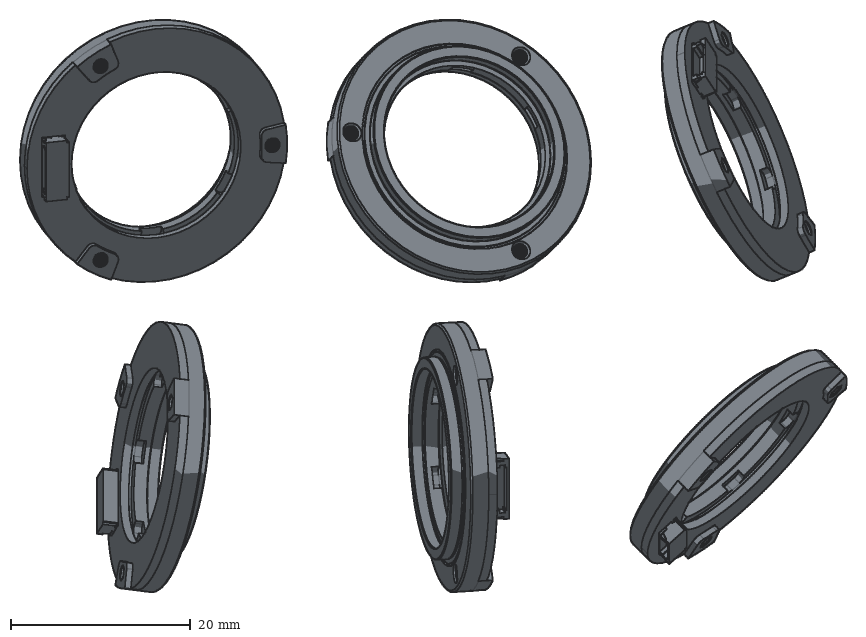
import cadquery as cq
import math


BOSS_END = 1.3
FLANGE_FRONT = 1.5
RECESS_START = 3.0
SEAT_START = 3.3
COVER_FRONT = 3.5
COVER_REAR = 4.5
LUG_REAR = 5.2
CONNECTOR_REAR = 6.2

OUTER_RADIUS = 30 / 2
BOSS_RADIUS = 22.6 / 2
NECK_RADIUS = 22.4 / 2
FRONT_BORE_RADIUS = 20.0 / 2
RELIEF_RADIUS = 20.2 / 2
RIB_BORE_RADIUS = 19.0 / 2
RECESS_RADIUS = 21.2 / 2
SEAT_RADIUS = 22.8 / 2
COVER_BORE_RADIUS = 19.6 / 2
FLANGE_CHAMFER = 0.2

GROOVE_OUTER_RADIUS = 24.2 / 2
GROOVE_INNER_RADIUS = 23.6 / 2
GROOVE_DEPTH = 0.3

LUG_ANGLES = [0, 120, 240]
LUG_SPAN = 17.5
LUG_INNER_RADIUS = 12.05
LUG_CORNER_RADIUS = 0.75
HOLE_CIRCLE_RADIUS = 13.3
THREAD_CREST_RADIUS = 1.62 / 2
THREAD_ROOT_RADIUS = 2.15 / 2
THREAD_PITCH = 0.4

NOTCH_COUNT = 6
FIRST_NOTCH_ANGLE = 30
NOTCH_SPAN = 15
NOTCH_FRONT = 2.1
NOTCH_INNER_RADIUS = RIB_BORE_RADIUS - 0.3
NOTCH_CORNER_RADIUS = 0.75

CONNECTOR_LENGTH = 7.0
CONNECTOR_DEPTH = 2.7
CONNECTOR_FRONT = -HOLE_CIRCLE_RADIUS
CONNECTOR_BACK = CONNECTOR_FRONT + CONNECTOR_DEPTH
HALF_LENGTH = CONNECTOR_LENGTH / 2
BACK_STEP_DEPTH = 0.27
BACK_STEP_INSET = 0.27
UNDERCUT_HEIGHT = 0.18
UNDERCUT_DEPTH = 0.75
FOOT_DEPTH = 0.45

MOUTH_DEPTH = 1.5
MOUTH_FLOOR = COVER_REAR + 0.18
MOUTH_HEIGHT = 1.25
MOUTH_LENGTH = 4.98
KEY_OFFSET = 0.45
KEY_HEIGHT = 0.63
KEY_SPAN = 5.52

TAB_THICKNESS = 0.27
TAB_WIDTH = 0.27
TAB_DEPTH = 1.02
RAMP_END_HEIGHT = 1.08
RAMP_START_DEPTH = 0.42
RAMP_END_DEPTH = 0.15


def about_axis(shape, degrees):
    return shape.rotate((0, 0, 0), (1, 0, 0), degrees)


def turned(profile, span=360):
    """Revolve a closed (x, radius) outline about the X axis, through a span centred on +Y."""
    points = [(x, -radius) for x, radius in profile]
    solid = cq.Workplane("XY").polyline(points).close().revolve(span, (0, 0), (1, 0))
    return about_axis(solid, 180 - span / 2)


def ring(inner_radius, outer_radius, start, end, span=360):
    profile = [(start, inner_radius), (end, inner_radius), (end, outer_radius), (start, outer_radius)]
    return turned(profile, span)


def block(x_range, y_range, z_range):
    size = [high - low for low, high in (x_range, y_range, z_range)]
    corner = (x_range[0], y_range[0], z_range[0])
    return cq.Workplane("XY").box(*size, centered=False).translate(corner)


def lug():
    """Lug on +Y with rounded inner corners, standing on the back of the flange."""
    body = ring(LUG_INNER_RADIUS, OUTER_RADIUS, COVER_FRONT, LUG_REAR, LUG_SPAN)
    return body.edges("|X").edges("<Y").fillet(LUG_CORNER_RADIUS)


def notch():
    """Cutter on +Y with rounded outer corners, for one notch in the bore rib."""
    cutter = ring(NOTCH_INNER_RADIUS, RECESS_RADIUS, NOTCH_FRONT, SEAT_START, NOTCH_SPAN)
    return cutter.edges("|X").edges(">Y").fillet(NOTCH_CORNER_RADIUS)


def threaded_hole():
    """Cutter on +Y: a through hole with ring-shaped V threads."""
    outline = [(FLANGE_FRONT, 0), (FLANGE_FRONT, THREAD_ROOT_RADIUS)]
    pitches = math.ceil((LUG_REAR - FLANGE_FRONT) / THREAD_PITCH)
    for turn in range(pitches):
        root = FLANGE_FRONT + turn * THREAD_PITCH
        outline.append((root + THREAD_PITCH / 2, THREAD_CREST_RADIUS))
        outline.append((root + THREAD_PITCH, THREAD_ROOT_RADIUS))
    outline.append((FLANGE_FRONT + pitches * THREAD_PITCH, 0))
    return turned(outline).translate((0, HOLE_CIRCLE_RADIUS, 0))


def make_housing():
    edge_break = BOSS_RADIUS - NECK_RADIUS
    body = turned([
        (0, RELIEF_RADIUS),
        (0, NECK_RADIUS),
        (edge_break, BOSS_RADIUS),
        (BOSS_END, BOSS_RADIUS),
        (BOSS_END, NECK_RADIUS),
        (FLANGE_FRONT, NECK_RADIUS),
        (FLANGE_FRONT, OUTER_RADIUS - FLANGE_CHAMFER),
        (FLANGE_FRONT + FLANGE_CHAMFER, OUTER_RADIUS),
        (COVER_FRONT, OUTER_RADIUS),
        (COVER_FRONT, SEAT_RADIUS),
        (SEAT_START, SEAT_RADIUS),
        (SEAT_START, RECESS_RADIUS),
        (RECESS_START, RECESS_RADIUS),
        (RECESS_START, RIB_BORE_RADIUS),
        (FLANGE_FRONT, RIB_BORE_RADIUS),
        (FLANGE_FRONT, RELIEF_RADIUS),
        (BOSS_END, RELIEF_RADIUS),
        (BOSS_END, FRONT_BORE_RADIUS),
        (RELIEF_RADIUS - FRONT_BORE_RADIUS, FRONT_BORE_RADIUS),
    ])
    groove_floor = FLANGE_FRONT + GROOVE_DEPTH
    body = body.cut(ring(GROOVE_INNER_RADIUS, GROOVE_OUTER_RADIUS, FLANGE_FRONT, groove_floor))
    for index in range(NOTCH_COUNT):
        angle = FIRST_NOTCH_ANGLE + index * 360 / NOTCH_COUNT
        body = body.cut(about_axis(notch(), angle), clean=False)
    for angle in LUG_ANGLES:
        body = body.union(about_axis(lug(), angle), clean=False)
    for angle in LUG_ANGLES:
        body = body.cut(about_axis(threaded_hole(), angle), clean=False)
    return body


def make_cover():
    """Flat ring behind the flange, cut out around the lugs."""
    body = ring(COVER_BORE_RADIUS, OUTER_RADIUS, COVER_FRONT, COVER_REAR)
    for angle in LUG_ANGLES:
        body = body.cut(about_axis(lug(), angle), clean=False)
    return body


def end_slot(side):
    """Cutter for the solder tab and the ramp behind it; side is +1 or -1 along Z."""
    outline = [
        (COVER_REAR, CONNECTOR_FRONT),
        (COVER_REAR, CONNECTOR_FRONT + TAB_DEPTH),
        (COVER_REAR + TAB_THICKNESS, CONNECTOR_FRONT + TAB_DEPTH),
        (COVER_REAR + TAB_THICKNESS, CONNECTOR_FRONT + RAMP_START_DEPTH),
        (COVER_REAR + RAMP_END_HEIGHT, CONNECTOR_FRONT + RAMP_END_DEPTH),
        (COVER_REAR + RAMP_END_HEIGHT, CONNECTOR_FRONT),
    ]
    slot_centre = side * (HALF_LENGTH - TAB_WIDTH / 2)
    return (
        cq.Workplane("XY", origin=(0, 0, slot_centre))
        .polyline(outline)
        .close()
        .extrude(TAB_WIDTH / 2, both=True)
    )


def make_connector():
    full_length = (-HALF_LENGTH, HALF_LENGTH)
    body = block((COVER_REAR, CONNECTOR_REAR), (CONNECTOR_FRONT, CONNECTOR_BACK), full_length)

    foot_front = CONNECTOR_BACK - FOOT_DEPTH
    undercut_front = CONNECTOR_BACK - UNDERCUT_DEPTH
    undercut_x = (COVER_REAR, COVER_REAR + UNDERCUT_HEIGHT)
    body = body.cut(block(undercut_x, (undercut_front, foot_front), full_length))

    mouth_y = (CONNECTOR_FRONT, CONNECTOR_FRONT + MOUTH_DEPTH)
    mouth_x = (MOUTH_FLOOR, MOUTH_FLOOR + MOUTH_HEIGHT)
    key_floor = MOUTH_FLOOR + KEY_OFFSET
    mouth = block(mouth_x, mouth_y, (-MOUTH_LENGTH / 2, MOUTH_LENGTH / 2))
    keys = block((key_floor, key_floor + KEY_HEIGHT), mouth_y, (-KEY_SPAN / 2, KEY_SPAN / 2))
    body = body.cut(mouth).cut(keys)

    step_x = (COVER_REAR + UNDERCUT_HEIGHT, CONNECTOR_REAR)
    step_y = (CONNECTOR_BACK - BACK_STEP_DEPTH, CONNECTOR_BACK)
    for side in (1, -1):
        step_z = sorted((side * (HALF_LENGTH - BACK_STEP_INSET), side * HALF_LENGTH))
        body = body.cut(block(step_x, step_y, step_z)).cut(end_slot(side))
    return body


def make_tab(side):
    """Solder tab lying on the cover at one end of the connector."""
    tab_x = (COVER_REAR, COVER_REAR + TAB_THICKNESS)
    tab_y = (CONNECTOR_FRONT, CONNECTOR_FRONT + TAB_DEPTH)
    tab_z = sorted((side * (HALF_LENGTH - TAB_WIDTH), side * HALF_LENGTH))
    return block(tab_x, tab_y, tab_z)


housing = make_housing()
cover = make_cover()
connector = make_connector()
tabs = [make_tab(side).val() for side in (1, -1)]

result = cq.Compound.makeCompound([housing.val(), cover.val(), connector.val(), *tabs])